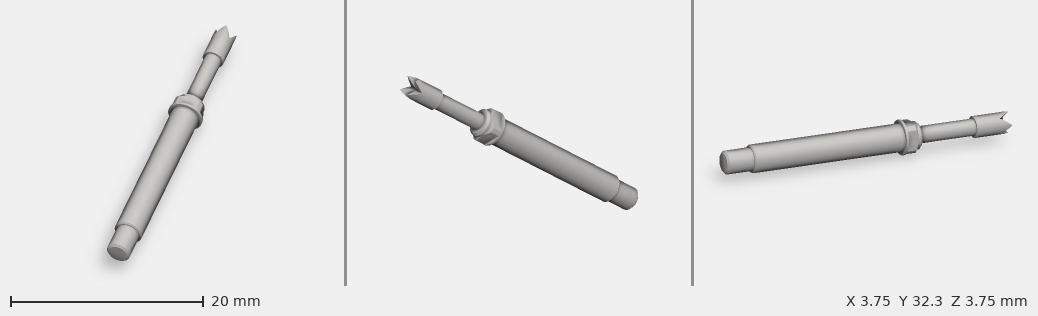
import cadquery as cq
import math


tip_y = 12.3
crown_length = 4.0
crown_base_y = tip_y - crown_length
collar_front_y = 2.05
flange_thickness = 0.25
body_length = 17.0
tail_length = 3.0
body_end_y = -body_length
tail_end_y = body_end_y - tail_length

crown_diameter = 2.3
plunger_diameter = 1.8
body_diameter = 3.0
flange_diameter = 3.75
tail_diameter = 2.5

wrench_width = body_diameter
wrench_corner_diameter = 3.72
nose_length = 0.55
wrench_chamfer_angle = 30.0

nose_chamfer = 0.22
body_chamfer = 0.15
tail_chamfer = 0.22

tooth_depth = 1.3
tooth_count = 4


def rod(diameter, start_y, end_y):
    """Cylinder on the Y axis from start_y (lower) to end_y (upper)."""
    plane = cq.Plane(origin=(0, start_y, 0), xDir=(1, 0, 0), normal=(0, 1, 0))
    return cq.Workplane(plane).circle(diameter / 2).extrude(end_y - start_y)


def make_crown():
    """Tip cylinder cut by V grooves along both diagonals, leaving a tooth on each of +-X and +-Z."""
    crown = rod(crown_diameter, crown_base_y, tip_y)
    half_pitch = math.radians(180 / tooth_count)
    tooth_offset = crown_diameter / 2 * math.sin(half_pitch)
    overshoot = 1.5
    half_width = tooth_offset * overshoot
    valley_y = tip_y - tooth_depth
    top_y = valley_y + tooth_depth * overshoot
    groove = (
        cq.Workplane("XY")
        .polyline([(0, valley_y), (half_width, top_y), (-half_width, top_y)])
        .close()
        .extrude(crown_diameter, both=True)
    )
    for index in range(tooth_count // 2):
        angle = 180 / tooth_count + index * 360 / tooth_count
        crown = crown.cut(groove.rotate((0, 0, 0), (0, 1, 0), angle))
    return crown


def make_wrench_section():
    """Square block with round corners, the front of each corner turned to a cone."""
    front_y = collar_front_y - nose_length
    corner_radius = wrench_corner_diameter / 2
    nose_radius = body_diameter / 2
    cone_length = (corner_radius - nose_radius) * math.tan(math.radians(wrench_chamfer_angle))
    turned = (
        cq.Workplane("XY")
        .polyline([
            (0, 0),
            (corner_radius, 0),
            (corner_radius, front_y - cone_length),
            (nose_radius, front_y),
            (0, front_y),
        ])
        .close()
        .revolve(360, (0, 0, 0), (0, 1, 0))
    )
    square = cq.Workplane("XZ").rect(wrench_width, wrench_width).extrude(-front_y)
    return turned.intersect(square)


def make_housing():
    """Collar nose, wrench section, flange, main barrel and tail."""
    nose = rod(body_diameter, 0, collar_front_y).faces(">Y").chamfer(nose_chamfer)
    flange = rod(flange_diameter, 0, flange_thickness)
    barrel = rod(body_diameter, body_end_y, 0).faces("<Y").chamfer(body_chamfer)
    tail = rod(tail_diameter, tail_end_y, body_end_y).faces("<Y").chamfer(tail_chamfer)
    return nose.union(make_wrench_section()).union(flange).union(barrel).union(tail)


plunger = rod(plunger_diameter, collar_front_y, crown_base_y)
result = make_housing().union(plunger).union(make_crown())